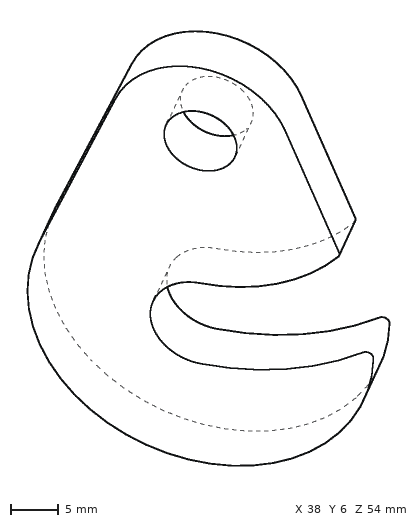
import cadquery as cq
import math

thickness = 6.0
body_radius = 19.0
eye_radius = 10.0
eye_hole_radius = 4.0
throat_radius = 5.5
tip_fillet = 0.7
lip_fillet = 0.6
height = 54.0

body_z = body_radius
eye_z = height - eye_radius
center_distance = eye_z - body_z
mouth_inner = center_distance - throat_radius
mouth_outer = center_distance + throat_radius

tangent_sin = (body_radius - eye_radius) / center_distance
tangent_cos = math.sqrt(1 - tangent_sin**2)


def disc(radius, z):
    """Disc through the plate thickness, centred at height z on the Z axis."""
    return cq.Workplane("XZ").center(0, z).circle(radius).extrude(thickness / 2, both=True)


def tangent_point(radius, z, side):
    """Point where the straight flank touches a circle; side is -1 or 1 along X."""
    return side * radius * tangent_cos, z + radius * tangent_sin


def teardrop():
    """Body and eye circles joined by their two common tangents."""
    return (
        cq.Workplane("XZ")
        .moveTo(*tangent_point(body_radius, body_z, -1))
        .lineTo(*tangent_point(eye_radius, eye_z, -1))
        .threePointArc((0, height), tangent_point(eye_radius, eye_z, 1))
        .lineTo(*tangent_point(body_radius, body_z, 1))
        .threePointArc((0, 0), tangent_point(body_radius, body_z, -1))
        .close()
        .extrude(thickness / 2, both=True)
    )


def mouth():
    """Quarter ring about the eye centre, opening toward +X."""
    return (
        cq.Workplane("XZ", origin=(0, 0, eye_z))
        .moveTo(0, -mouth_inner)
        .lineTo(0, -mouth_outer)
        .radiusArc((mouth_outer, 0), -mouth_outer)
        .lineTo(mouth_inner, 0)
        .radiusArc((0, -mouth_inner), mouth_inner)
        .close()
        .extrude(thickness / 2, both=True)
    )


hook = teardrop().cut(mouth()).cut(disc(throat_radius, body_z))
hook = hook.cut(disc(eye_hole_radius, eye_z))

hook = hook.edges("|Y").edges(">X").fillet(tip_fillet)
lip_corner = cq.selectors.BoxSelector(
    (eye_radius, -thickness, body_z + throat_radius),
    (body_radius, thickness, eye_z - eye_hole_radius),
)
result = hook.edges("|Y").edges(lip_corner).fillet(lip_fillet)